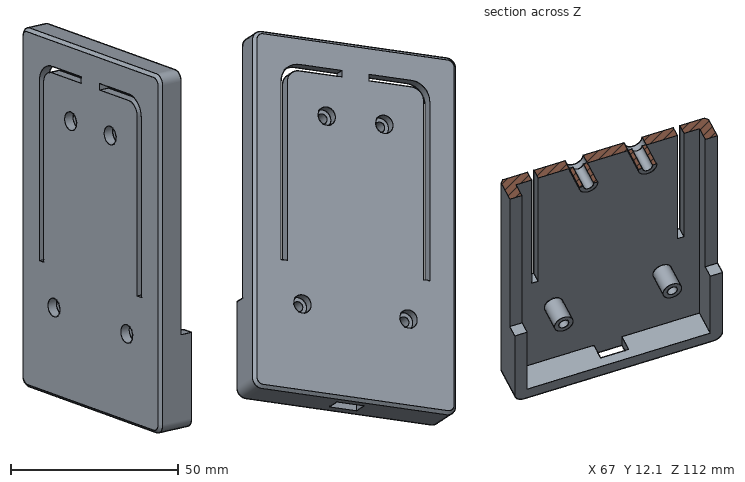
import cadquery as cq
import math

width = 67.0
height = 112.0
base_depth = 12.09
base_height = 30.0
step_depth = 4.0
upper_depth = base_depth - step_depth
corner_radius = 3.0
front_chamfer = 1.0

wall = 4.0
front_thickness = 3.5

boss_diameter = 6.0
boss_setback = 0.5
boss_end = base_depth - boss_setback
screw_diameter = 3.2
head_diameter = 5.7
head_depth = 3.2
lower_screw_z = 28.0
screw_row_spacing = 60.0
upper_screw_z = lower_screw_z + screw_row_spacing
lower_screw_x = 17.5
upper_screw_x = 9.5

slot_width = 2.0
slot_outer_x = 24.5
slot_top_z = 103.0
slot_bottom_z = 41.0
slot_outer_radius = 6.0
bridge_half_width = 4.5

notch_width = 9.0
notch_end = 8.85


def box_between(x_range, y_range, z_range):
    """Axis-aligned box given by its lower and upper limits on each axis."""
    sizes = [upper - lower for lower, upper in (x_range, y_range, z_range)]
    corner = (x_range[0], y_range[0], z_range[0])
    return cq.Workplane("XY").box(*sizes, centered=False).translate(corner)


def cylinder_along_y(diameter, x, z, y_start, y_end):
    """Round bar parallel to Y between two depths."""
    bar = cq.Solid.makeCylinder(
        diameter / 2, y_end - y_start, cq.Vector(x, y_start, z), cq.Vector(0, 1, 0)
    )
    return cq.Workplane(obj=bar)


def make_shell():
    """Rounded, chamfered block, stepped at the back and hollowed from behind."""
    half_width = width / 2
    shell = box_between((-half_width, half_width), (0, base_depth), (0, height))
    shell = shell.edges("|Y").fillet(corner_radius)
    shell = shell.faces("<Y").edges().chamfer(front_chamfer)
    step_cut = box_between(
        (-half_width, half_width), (upper_depth, base_depth), (base_height, height)
    )
    cavity_half_width = half_width - wall
    cavity = box_between(
        (-cavity_half_width, cavity_half_width),
        (front_thickness, base_depth),
        (wall, height - wall),
    )
    return shell.cut(step_cut).cut(cavity)


def make_slot():
    """Hooked slot on the +X side: a long leg, a rounded corner and a short arm."""
    inner_x = slot_outer_x - slot_width
    arm_bottom_z = slot_top_z - slot_width
    inner_radius = slot_outer_radius - slot_width
    center_x = slot_outer_x - slot_outer_radius
    center_z = slot_top_z - slot_outer_radius
    diagonal = math.sqrt(0.5)
    outer_mid = (center_x + slot_outer_radius * diagonal, center_z + slot_outer_radius * diagonal)
    inner_mid = (center_x + inner_radius * diagonal, center_z + inner_radius * diagonal)
    return (
        cq.Workplane("XZ")
        .moveTo(slot_outer_x, slot_bottom_z)
        .lineTo(slot_outer_x, center_z)
        .threePointArc(outer_mid, (center_x, slot_top_z))
        .lineTo(bridge_half_width, slot_top_z)
        .lineTo(bridge_half_width, arm_bottom_z)
        .lineTo(center_x, arm_bottom_z)
        .threePointArc(inner_mid, (inner_x, center_z))
        .lineTo(inner_x, slot_bottom_z)
        .close()
        .extrude(-front_thickness)
    )


def add_screw_boss(body, x, z):
    """Boss on the inside of the front wall with its counterbored through hole."""
    boss = cylinder_along_y(boss_diameter, x, z, front_thickness, boss_end)
    hole = cylinder_along_y(screw_diameter, x, z, 0, boss_end)
    head_recess = cylinder_along_y(head_diameter, x, z, 0, head_depth)
    return body.union(boss).cut(hole).cut(head_recess)


def make_notch():
    """Opening through the bottom wall, level with the cavity floor."""
    half_width = notch_width / 2
    return box_between((-half_width, half_width), (front_thickness, notch_end), (0, wall))


body = make_shell().cut(make_notch())

slot = make_slot()
body = body.cut(slot).cut(slot.mirror("YZ"))

for side in (-1, 1):
    body = add_screw_boss(body, side * lower_screw_x, lower_screw_z)
    body = add_screw_boss(body, side * upper_screw_x, upper_screw_z)

result = cq.Workplane(obj=body.val())